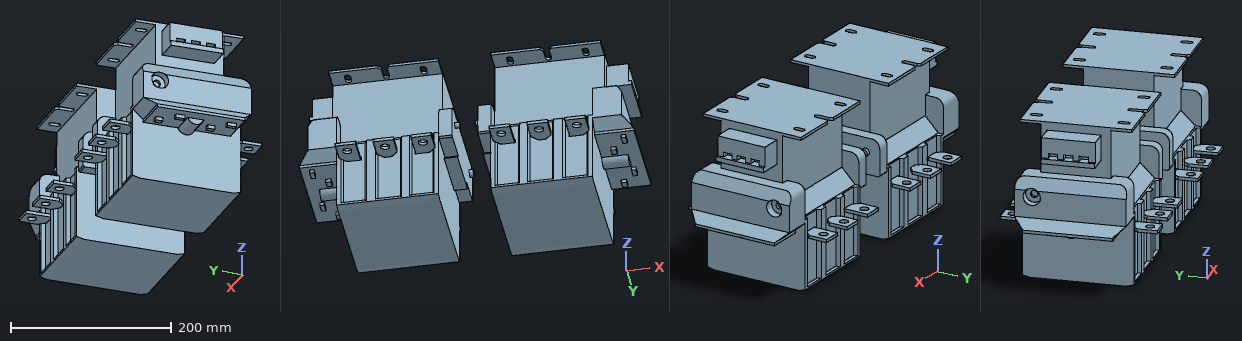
import cadquery as cq


depth = 144.5
half_depth = depth / 2
base_inner_x = 33.0
base_outer_x = 162.5
shoulder_z = 98.0
shoulder_half_depth = 64.5
bottom_bevel_depth = 9.8
bottom_bevel_height = 2.5

total_height = 213.0
plate_thickness = 4.0
plate_z = total_height - plate_thickness
upper_outer_x = 172.5
upper_center_x = (upper_outer_x + base_inner_x) / 2
upper_half_depth = 45.5
shoulder_top_z = shoulder_z + shoulder_half_depth - upper_half_depth

slot_width = 7.2
slot_length = 15.0
slot_y = 56.5
slot_pitch = 48.0
notch_end_y = slot_y - slot_length / 2
notch_mouth_half_width = 7.0
notch_mouth_depth = 4.2

bays = ((54.5, 31.5), (96.5, 33.5), (140.5, 32.5))
bay_depth = 5.0
bay_draft = 2.5
bay_bottom_z = 5.5
bay_floor_y = half_depth - bay_depth

strap_pitch = slot_pitch
strap_center_x = 97.8
strap_width = 26.0
strap_thickness = 4.2
strap_z = 72.2
strap_tip_y = 101.5
strap_taper_y = 75.5
strap_embed = 4.2
strap_flare = 1.3
strap_hole_radius = 5.5
strap_hole_y = 89.0

hood_face_x = 199.5
hood_top_z = 145.5
hood_corner_radius = 11.5
hood_bevel_width = 9.0
hood_bevel_height = 15.7
flare_z = 93.5
lip_x = 212.5
lip_top_z = 81.0
lip_bottom_z = 77.5
lip_half_depth = 58.2

pin_y = 49.7
socket_z = 121.0
socket_radius = 11.0
socket_depth = 12.0
socket_hole_radius = 4.5
socket_hole_depth = 4.2
large_pin_radius = 5.0
large_pin_x = 11.0
small_pin_radius = 3.6
small_pin_x = 9.8
small_pin_z = 123.0

barrel_radius = 11.5
barrel_y = 1.0
barrel_x = 196.0
tab_bottom_z = 72.5
wide_tab_width = 12.0
wide_tab_ys = (-46.0, 23.0)
wide_tab_x = (195.0, 200.5)
narrow_tab_width = 9.5
narrow_tab_ys = (-24.2, 45.0)
narrow_tab_x = (177.5, 184.5)

connector_y = (-32.7, 37.0)
connector_bottom_z = 168.7
connector_top_z = 202.0
connector_x = 200.5
ledge_x = 204.5
ledge_z = 175.0
window_width = 12.0
window_height = 6.5
window_depth = 8.5
window_pitch = 20.0
window_center_y = 2.0

cap_face_x = 16.0
cap_top_z = 140.5
cap_half_depth = 70.0
cap_corner_radius = 12.0
cap_bottom_z = 91.5
cap_bottom_bevel_width = 2.0
cap_bottom_bevel_height = 1.5
cap_foot_z = 85.5
cap_foot_half_depth = 34.0
cap_foot_undercut = cap_bottom_z - cap_foot_z


def box(x_range, y_range, z_range):
    """A box between the given limits."""
    size = [high - low for low, high in (x_range, y_range, z_range)]
    return cq.Workplane("XY").box(*size, centered=False).translate((x_range[0], y_range[0], z_range[0]))


def extrude_along_x(outline, x_start, x_end):
    """Extrude a closed YZ outline along X."""
    return cq.Workplane("YZ", origin=(x_start, 0, 0)).polyline(outline).close().extrude(x_end - x_start)


def rod(x_start, x_end, y, z, radius):
    """A cylinder along X."""
    return cq.Workplane("YZ", origin=(x_start, y, z)).circle(radius).extrude(x_end - x_start)


def mirrored_in_y(half_points):
    """Close a YZ outline from its +Y half."""
    return half_points + [(-y, z) for y, z in reversed(half_points)]


def make_base():
    outline = mirrored_in_y([
        (half_depth - bottom_bevel_depth, 0),
        (half_depth, bottom_bevel_height),
        (half_depth, shoulder_z),
        (shoulder_half_depth, shoulder_z),
        (upper_half_depth, shoulder_top_z),
    ])
    base = extrude_along_x(outline, base_inner_x, base_outer_x)
    for center_x, width in bays:
        bay = make_bay(center_x, width)
        base = base.cut(bay).cut(bay.mirror("XZ"))
    return base


def make_bay(center_x, width):
    """A pole bay on the +Y face: open at the top, with side walls that draw in towards its floor."""
    mouth = width / 2
    floor = mouth - bay_draft
    outline = [(-mouth, half_depth), (mouth, half_depth), (floor, bay_floor_y), (-floor, bay_floor_y)]
    return (
        cq.Workplane("XY", origin=(center_x, 0, bay_bottom_z))
        .polyline(outline)
        .close()
        .extrude(shoulder_z - bay_bottom_z)
    )


def make_upper_block():
    return box(
        (base_inner_x, upper_outer_x),
        (-upper_half_depth, upper_half_depth),
        (shoulder_z, plate_z),
    )


def make_plate():
    plate = box((base_inner_x, upper_outer_x), (-half_depth, half_depth), (plate_z, total_height))
    slot_centers = [(x * slot_pitch, y * slot_y) for x in (-1, 1) for y in (-1, 1)]
    slots = (
        cq.Workplane("XY", origin=(upper_center_x, 0, plate_z))
        .pushPoints(slot_centers)
        .slot2D(slot_length, slot_width, 90)
        .extrude(plate_thickness)
    )
    notch = make_notch()
    return plate.cut(slots).cut(notch).cut(notch.mirror("XZ"))


def make_notch():
    """The round-ended notch in the +Y edge of the plate, with a bevelled mouth."""
    radius = slot_width / 2
    throat_y = half_depth - notch_mouth_depth
    return (
        cq.Workplane("XY", origin=(upper_center_x, 0, plate_z))
        .moveTo(-radius, notch_end_y + radius)
        .threePointArc((0, notch_end_y), (radius, notch_end_y + radius))
        .lineTo(radius, throat_y)
        .lineTo(notch_mouth_half_width, half_depth)
        .lineTo(-notch_mouth_half_width, half_depth)
        .lineTo(-radius, throat_y)
        .close()
        .extrude(plate_thickness)
    )


def make_strap(position):
    """A +Y strap; position is -1, 0 or 1 across the base, and the end straps lean to the middle."""
    edge = strap_width / 2
    root_y = bay_floor_y - strap_embed
    tapered_edge = edge - (strap_taper_y - bay_floor_y)
    taper = [(edge, strap_taper_y), (tapered_edge, bay_floor_y), (tapered_edge, root_y)]
    if position == 0:
        inner_side = taper
    else:
        flared_edge = edge + strap_flare
        inner_side = [(edge, bay_floor_y + strap_flare), (flared_edge, bay_floor_y), (flared_edge, root_y)]
    outline = [(edge, strap_tip_y)] + taper
    outline += [(-x, y) for x, y in reversed(inner_side)] + [(-edge, strap_tip_y)]
    if position < 0:
        outline = [(-x, y) for x, y in outline]
    return (
        cq.Workplane("XY", origin=(strap_center_x + position * strap_pitch, 0, strap_z))
        .polyline(outline)
        .close()
        .moveTo(0, strap_hole_y)
        .circle(strap_hole_radius)
        .extrude(strap_thickness)
    )


def make_hood():
    """Hood with its flared lip: the common part of a side profile and an end profile."""
    side_outline = [
        (base_outer_x, lip_bottom_z),
        (lip_x, lip_bottom_z),
        (lip_x, lip_top_z),
        (hood_face_x, flare_z),
        (hood_face_x, hood_top_z - hood_bevel_height),
        (hood_face_x - hood_bevel_width, hood_top_z),
        (base_outer_x, hood_top_z),
    ]
    side_profile = (
        cq.Workplane("XZ").polyline(side_outline).close().extrude(half_depth, both=True)
    )
    end_outline = mirrored_in_y([
        (lip_half_depth, lip_bottom_z),
        (lip_half_depth, lip_top_z),
        (half_depth, flare_z),
        (half_depth, hood_top_z),
    ])
    end_profile = (
        extrude_along_x(end_outline, base_outer_x, lip_x)
        .edges("|X and >Z")
        .fillet(hood_corner_radius)
    )
    hood = side_profile.intersect(end_profile)
    socket_floor_x = hood_face_x - socket_depth
    socket = rod(socket_floor_x, hood_face_x, pin_y, socket_z, socket_radius)
    hole = rod(socket_floor_x - socket_hole_depth, socket_floor_x, pin_y, socket_z, socket_hole_radius)
    return hood.cut(socket).cut(hole)


def make_lip_fittings():
    """The barrel and the four tabs under the lip."""
    fittings = [rod(base_outer_x, barrel_x, barrel_y, lip_top_z, barrel_radius)]
    tab_rows = (
        (wide_tab_x, wide_tab_ys, wide_tab_width),
        (narrow_tab_x, narrow_tab_ys, narrow_tab_width),
    )
    for x_range, centers_y, width in tab_rows:
        for y in centers_y:
            fittings.append(box(x_range, (y - width / 2, y + width / 2), (tab_bottom_z, lip_top_z)))
    return fittings


def make_connector():
    block = box((upper_outer_x, connector_x), connector_y, (connector_bottom_z, connector_top_z))
    ledge = box((upper_outer_x, ledge_x), connector_y, (connector_bottom_z, ledge_z))
    connector = block.union(ledge)
    for index in (-1, 0, 1):
        y = window_center_y + index * window_pitch
        window = box(
            (connector_x - window_depth, connector_x),
            (y - window_width / 2, y + window_width / 2),
            (ledge_z, ledge_z + window_height),
        )
        connector = connector.cut(window)
    return connector


def make_cap():
    """The rounded cap, with a dovetail foot along its underside."""
    outline = mirrored_in_y([
        (cap_foot_half_depth, cap_foot_z),
        (cap_foot_half_depth - cap_foot_undercut, cap_bottom_z),
        (cap_half_depth - cap_bottom_bevel_width, cap_bottom_z),
        (cap_half_depth, cap_bottom_z + cap_bottom_bevel_height),
        (cap_half_depth, cap_top_z),
    ])
    return (
        extrude_along_x(outline, cap_face_x, base_inner_x)
        .edges("|X and >Z")
        .fillet(cap_corner_radius)
    )


def make_interlock_pins():
    large_pin = rod(large_pin_x, cap_face_x, pin_y, socket_z, large_pin_radius)
    small_pin = rod(small_pin_x, cap_face_x, -pin_y, small_pin_z, small_pin_radius)
    return [large_pin, small_pin]


def make_contactor():
    """The contactor on the +X side, as one solid."""
    parts = [make_upper_block(), make_plate(), make_hood(), make_connector(), make_cap()]
    parts += make_lip_fittings() + make_interlock_pins()
    for position in (-1, 0, 1):
        strap = make_strap(position)
        parts += [strap, strap.mirror("XZ")]
    contactor = make_base()
    for part in parts:
        contactor = contactor.union(part)
    return contactor


contactors = []
for mirrored in (True, False):
    contactor = make_contactor()
    if mirrored:
        contactor = contactor.mirror("YZ")
    contactors.append(contactor.val())
result = cq.Compound.makeCompound(contactors)